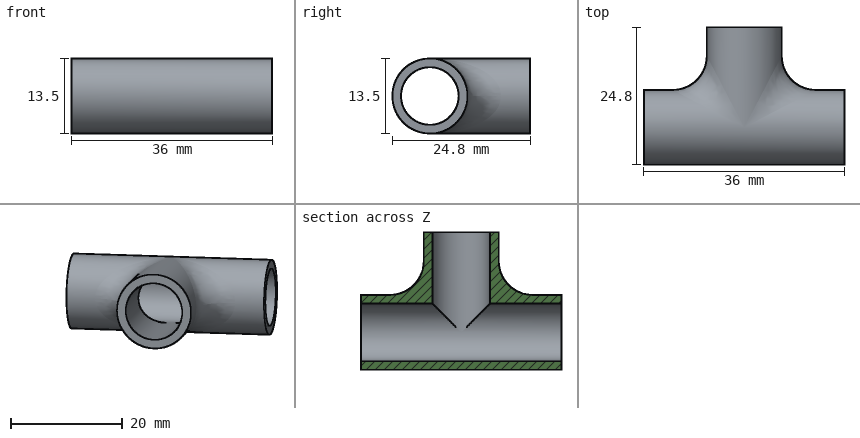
import cadquery as cq

run_length = 36.0
outer_diameter = 13.5
bore_diameter = 10.3
branch_reach = 18.0
crotch_radius = 6.0

outer_radius = outer_diameter / 2


def run_cylinder(diameter):
    """Cylinder along X over the full length of the run."""
    return cq.Workplane("YZ").circle(diameter / 2).extrude(run_length / 2, both=True)


def branch_cylinder(diameter):
    """Cylinder along +Y from the run axis to the branch end."""
    return cq.Workplane("XZ").circle(diameter / 2).extrude(-branch_reach)


body = run_cylinder(outer_diameter).union(branch_cylinder(outer_diameter))

crotch_edges = cq.selectors.BoxSelector(
    (-outer_radius, 0, -outer_radius),
    (outer_radius, outer_radius, outer_radius),
)
body = body.edges(crotch_edges).fillet(crotch_radius)

result = body.cut(run_cylinder(bore_diameter)).cut(branch_cylinder(bore_diameter))